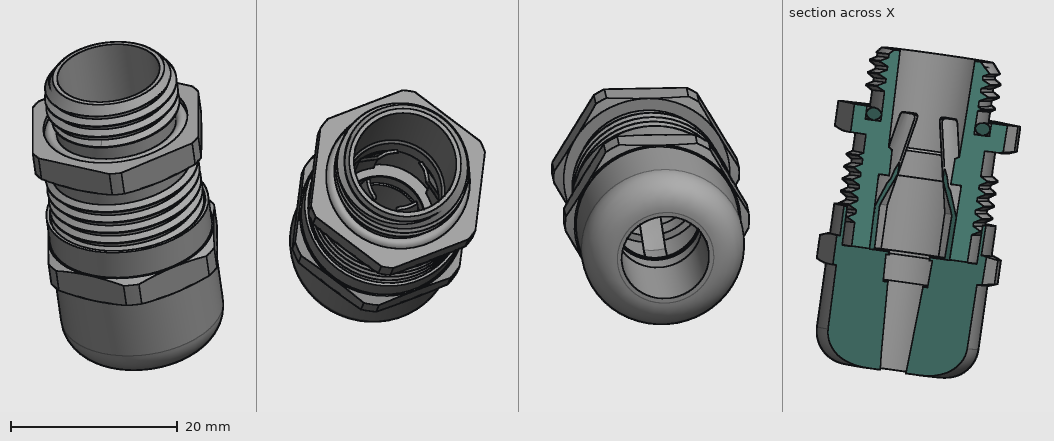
import cadquery as cq
import math


LEAN = 8.1
LEAN_HEADING = -8.2
HEX_SPIN = -3.8

NUT_BORE_STEP_Z = 10.6
LEDGE_Z = 14.2
NUT_HEX_Z = 11.7
NUT_HEX_HEIGHT = 3.6
NUT_TOP_Z = 18.9
LIP_Z = 23.2
LIP_TOP_Z = 26.3
BODY_HEX_Z = 27.7
BODY_HEX_HEIGHT = 3.45
BODY_HEX_TOP_Z = BODY_HEX_Z + BODY_HEX_HEIGHT
BODY_TOP_Z = 38.25

ACROSS_FLATS = 20.0
BODY_HEX_CORNER_R = 11.15
NUT_HEX_CORNER_R = 11.05
HEX_CHAMFER_ANGLE = 20.0

NECK_R = 7.2
SHANK_R = 8.49
BORE_R = 6.19
LIP_R = 5.87
SOCKET_R = 6.75
TOP_CHAMFER_R = 6.75
TOP_CHAMFER_H = 0.55

PITCH = 1.5
RIDGE_BASE = 1.1
RIDGE_CREST = 0.12
NECK_THREAD_R = 8.0
NECK_THREAD_START = 315.0
NECK_THREAD_Z = 32.92
SHANK_THREAD_R = 9.25
SHANK_THREAD_END = 86.0
SHANK_THREAD_END_Z = 24.93
SHANK_THREAD_TURNS = 5.25
RUNOUT_TURNS = 0.4
THREAD_OVERLAP = 0.15

RING_SECTION_R = 0.75
RING_GROOVE_DEPTH = 1.6

NUT_R = 9.8
NUT_EDGE_FILLET = 4.0
NUT_BORE_R = 5.25
NUT_RELIEF_R = 5.5
NUT_LIP_R = 5.33
NUT_LIP_H = 0.4
NUT_SOCKET_R = 9.41

CLAW_COUNT = 4
CLAW_FIRST_ANGLE = 53.0
CLAW_WIDTH = 2.6
CLAW_THICKNESS = 0.4
CLAW_BEND_Z = 19.5
CLAW_TIP_Z = 30.9
CLAW_TIP_R = 3.35
CLAW_TIP_CORNER = 0.5


def cylinder(radius, z_from, z_to):
    return cq.Workplane("XY").workplane(offset=z_from).circle(radius).extrude(z_to - z_from)


def revolved(points):
    return cq.Workplane("XZ").polyline(points).close().revolve(360, (0, 0, 0), (0, 1, 0))


def hexagon(z_from, height, corner_radius, chamfer_top):
    """Hexagon rounded to corner_radius, its bottom (and top) corners turned to a cone."""
    corner_across = ACROSS_FLATS / math.cos(math.radians(30))
    prism = cq.Workplane("XY").workplane(offset=z_from).polygon(6, corner_across).extrude(height)
    prism = prism.rotate((0, 0, 0), (0, 0, 1), 30 + HEX_SPIN)
    flat_r = ACROSS_FLATS / 2
    drop = (corner_radius - flat_r) * math.tan(math.radians(HEX_CHAMFER_ANGLE))
    top = z_from + height
    outline = [(0, z_from), (flat_r, z_from), (corner_radius, z_from + drop)]
    if chamfer_top:
        outline += [(corner_radius, top - drop), (flat_r, top), (0, top)]
    else:
        outline += [(corner_radius, top), (0, top)]
    return prism.intersect(revolved(outline))


def ridge(core_r, crest_r, turns, runout=False):
    """Right-handed V ridge that starts on the +X side at Z = 0 and climbs.

    A runout sinks as it climbs until its crest is below the core's surface.
    """
    root_r = core_r - THREAD_OVERLAP
    flank = (RIDGE_BASE - RIDGE_CREST) / 2 / (crest_r - core_r)
    root_width = RIDGE_BASE + 2 * flank * THREAD_OVERLAP
    section = (
        cq.Workplane("XZ")
        .moveTo(root_r, -root_width / 2)
        .lineTo(crest_r, -RIDGE_CREST / 2)
        .lineTo(crest_r, RIDGE_CREST / 2)
        .lineTo(root_r, root_width / 2)
        .close()
    )
    rise = turns * PITCH
    if runout:
        sink_angle = math.atan2(crest_r - core_r + THREAD_OVERLAP, rise)
        slant = 1 / math.cos(sink_angle)
        helix = cq.Wire.makeHelix(PITCH * slant, rise * slant, root_r, angle=-math.degrees(sink_angle))
    else:
        helix = cq.Wire.makeHelix(PITCH, rise, root_r)
    return section.sweep(cq.Workplane(helix), isFrenet=True)


def placed(thread, angle, z):
    return thread.rotate((0, 0, 0), (0, 0, 1), angle).translate((0, 0, z))


def make_body():
    shank = cylinder(SHANK_R, LEDGE_Z, BODY_HEX_Z)
    collar = hexagon(BODY_HEX_Z, BODY_HEX_HEIGHT, BODY_HEX_CORNER_R, False)
    groove = cylinder(NECK_R + 2 * RING_SECTION_R, BODY_HEX_TOP_Z - RING_GROOVE_DEPTH, BODY_HEX_TOP_Z)

    shank_thread = ridge(SHANK_R, SHANK_THREAD_R, SHANK_THREAD_TURNS)
    shank_thread_start = SHANK_THREAD_END - 360 * SHANK_THREAD_TURNS
    shank_thread_z = SHANK_THREAD_END_Z - SHANK_THREAD_TURNS * PITCH
    shank_runout = ridge(SHANK_R, SHANK_THREAD_R, RUNOUT_TURNS, runout=True)
    shank = shank.union(placed(shank_thread, shank_thread_start, shank_thread_z))
    shank = shank.union(placed(shank_runout, SHANK_THREAD_END, SHANK_THREAD_END_Z))

    neck_turns = (BODY_TOP_Z + PITCH / 2 - NECK_THREAD_Z) / PITCH
    neck_thread = ridge(NECK_R, NECK_THREAD_R, neck_turns)
    neck_runout = ridge(NECK_R, NECK_THREAD_R, RUNOUT_TURNS, runout=True).rotate((0, 0, 0), (1, 0, 0), 180)
    neck = cylinder(NECK_R, BODY_HEX_Z, BODY_TOP_Z + PITCH)
    neck = neck.union(placed(neck_thread, NECK_THREAD_START, NECK_THREAD_Z))
    neck = neck.union(placed(neck_runout, NECK_THREAD_START, NECK_THREAD_Z))
    trim_r = NECK_THREAD_R + PITCH
    trim_drop = (trim_r - TOP_CHAMFER_R) * TOP_CHAMFER_H / (NECK_R - TOP_CHAMFER_R)
    trim = revolved(
        [
            (0, BODY_TOP_Z),
            (TOP_CHAMFER_R, BODY_TOP_Z),
            (trim_r, BODY_TOP_Z - trim_drop),
            (trim_r, BODY_TOP_Z + 3 * PITCH),
            (0, BODY_TOP_Z + 3 * PITCH),
        ]
    )
    neck = neck.cut(trim)
    body = collar.cut(groove).union(shank).union(neck)

    lip_rise = BORE_R - LIP_R
    passage = revolved(
        [
            (0, LEDGE_Z),
            (SOCKET_R, LEDGE_Z),
            (SOCKET_R, LIP_Z),
            (LIP_R, LIP_Z),
            (LIP_R, LIP_TOP_Z),
            (BORE_R, LIP_TOP_Z + lip_rise),
            (BORE_R, BODY_TOP_Z),
            (0, BODY_TOP_Z),
        ]
    )
    return body.cut(passage)


def make_nut():
    shell = cylinder(NUT_R, 0, NUT_TOP_Z).faces("<Z").edges().fillet(NUT_EDGE_FILLET)
    nut = shell.union(hexagon(NUT_HEX_Z, NUT_HEX_HEIGHT, NUT_HEX_CORNER_R, True))
    bore = cylinder(NUT_BORE_R, 0, NUT_BORE_STEP_Z)
    relief = cylinder(NUT_RELIEF_R, NUT_BORE_STEP_Z, LEDGE_Z - NUT_LIP_H)
    lip = cylinder(NUT_LIP_R, LEDGE_Z - NUT_LIP_H, LEDGE_Z)
    socket = cylinder(NUT_SOCKET_R, LEDGE_Z, NUT_TOP_Z)
    return nut.cut(bore).cut(relief).cut(lip).cut(socket)


def make_ring():
    center_r = NECK_R + RING_SECTION_R
    center_z = BODY_HEX_TOP_Z - RING_GROOVE_DEPTH + RING_SECTION_R
    section = cq.Workplane("XZ").center(center_r, center_z).circle(RING_SECTION_R)
    return section.revolve(360, (-center_r, 0, 0), (-center_r, 1, 0))


def make_claw(angle):
    """Finger standing on the nut's ledge and leaning inwards to a thin rounded tip."""
    foot_inner_r = SOCKET_R - CLAW_THICKNESS
    wall = revolved(
        [
            (foot_inner_r, LEDGE_Z),
            (SOCKET_R, LEDGE_Z),
            (SOCKET_R, CLAW_BEND_Z),
            (CLAW_TIP_R + CLAW_THICKNESS, CLAW_TIP_Z),
            (CLAW_TIP_R, CLAW_TIP_Z),
            (foot_inner_r, CLAW_BEND_Z),
        ]
    )
    height = CLAW_TIP_Z - LEDGE_Z
    blade = (
        cq.Workplane("YZ")
        .center(0, LEDGE_Z + height / 2)
        .rect(CLAW_WIDTH, height)
        .extrude(SOCKET_R)
        .edges("|X and >Z")
        .fillet(CLAW_TIP_CORNER)
    )
    return wall.intersect(blade).rotate((0, 0, 0), (0, 0, 1), angle)


def leaned(part):
    tilted = part.rotate((0, 0, 0), (1, 0, 0), LEAN)
    return tilted.rotate((0, 0, 0), (0, 0, 1), LEAN_HEADING)


body = leaned(make_body())
nut = leaned(make_nut())
ring = leaned(make_ring())
claw_angles = [CLAW_FIRST_ANGLE + i * 360 / CLAW_COUNT for i in range(CLAW_COUNT)]
claws = [leaned(make_claw(angle)) for angle in claw_angles]

result = cq.Compound.makeCompound([body.val(), nut.val(), ring.val(), *[claw.val() for claw in claws]])